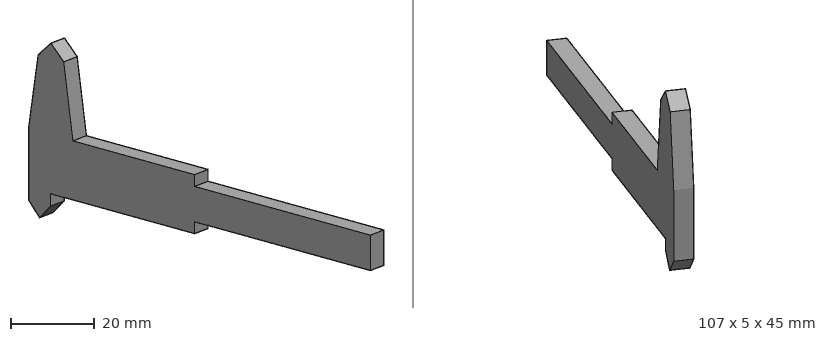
import cadquery as cq

length = 107.0
height = 45.0
thickness = 5.0

body_end = 52.0
body_bottom = 6.8
body_top = 21.8
beam_step = 3.0
beam_bottom = body_bottom + beam_step
beam_top = body_top - beam_step

upper_root_width = 13.9
upper_taper_start = 22.0
upper_shoulder_height = 41.2
upper_shoulder_left = 3.0
upper_shoulder_right = 11.0
upper_tip_x = (upper_shoulder_left + upper_shoulder_right) / 2

lower_width = 7.0
lower_shoulder_height = 3.7
lower_tip_x = lower_width / 2

outline = [
    (lower_tip_x, 0),
    (lower_width, lower_shoulder_height),
    (lower_width, body_bottom),
    (body_end, body_bottom),
    (body_end, beam_bottom),
    (length, beam_bottom),
    (length, beam_top),
    (body_end, beam_top),
    (body_end, body_top),
    (upper_root_width, body_top),
    (upper_shoulder_right, upper_shoulder_height),
    (upper_tip_x, height),
    (upper_shoulder_left, upper_shoulder_height),
    (0, upper_taper_start),
    (0, lower_shoulder_height),
]

result = cq.Workplane("XZ").polyline(outline).close().extrude(thickness / 2, both=True)